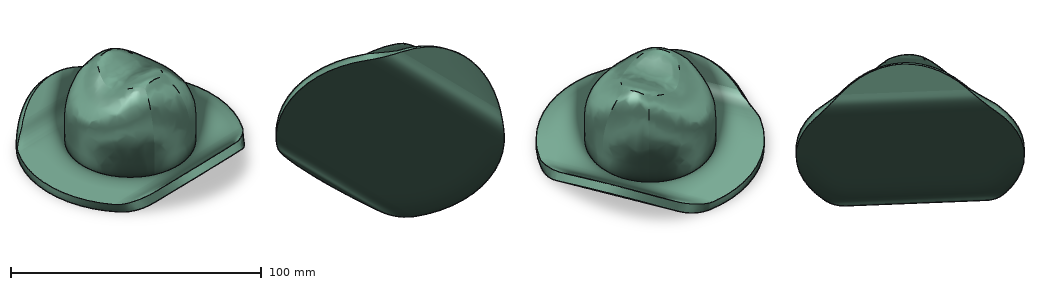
import cadquery as cq
import math

BRIM_TURN = 25.0
CROWN_TURN = 22.5

BRIM_RADIUS = 45.5
BRIM_THICKNESS = 3.55
BEND_START = 26.3
BEND_RADIUS = 13.65
WING_ANGLE = 45.0
RIM_DEPTH = 7.3
STEEPEST_UNDERSIDE = -0.1

CROWN_RADIUS = 26.16
WALL_TOP = 16.2
PEAK_HEIGHT = 39.6
VALLEY_HEIGHT = 35.7
CREASE_ARCH = 1.4
CREASE_HALF_LENGTH = 13.65
CREASE_END_HALF_WIDTH = 5.23
CREASE_HALF_WIDTH = 11.4
SEAM_ANGLES = [-22.5, 22.5, 157.5, 202.5, 337.5]
WALL_PULL = 9.6
CREASE_PULL = 5.9
CREASE_DROP = 1.8
WALL_STEPS = 2
DOME_STEPS = 6
EDGE_STEPS = 8
CREASE_GRID = [-0.75, -0.5, -0.25, 0.0, 0.25, 0.5, 0.75]
CREASE_ROWS = [-0.5, 0.0, 0.5]


def wing_profile(start, base):
    """Right half of a brim side line: flat, arc, then straight slope."""
    angle = math.radians(WING_ANGLE)
    half = angle / 2
    middle = (start + BEND_RADIUS * math.sin(half), base + BEND_RADIUS * (1 - math.cos(half)))
    end = (start + BEND_RADIUS * math.sin(angle), base + BEND_RADIUS * (1 - math.cos(angle)))
    run = 2 * BRIM_RADIUS - end[0]
    tip = (end[0] + run, end[1] + run * math.tan(angle))
    return [(start, base), middle, end, tip]


def mirrored(point):
    return (-point[0], point[1])


def brim_sheet():
    """Endless bent sheet, with both wings turned up."""
    lower_start = BEND_START + BRIM_THICKNESS * math.tan(math.radians(WING_ANGLE / 2))
    low = wing_profile(lower_start, 0)
    high = wing_profile(BEND_START, BRIM_THICKNESS)
    return (
        cq.Workplane("XZ")
        .moveTo(*mirrored(low[0]))
        .lineTo(*low[0])
        .threePointArc(low[1], low[2])
        .lineTo(*low[3])
        .lineTo(*high[3])
        .lineTo(*high[2])
        .threePointArc(high[1], high[0])
        .lineTo(*mirrored(high[0]))
        .threePointArc(mirrored(high[1]), mirrored(high[2]))
        .lineTo(*mirrored(high[3]))
        .lineTo(*mirrored(low[3]))
        .lineTo(*mirrored(low[2]))
        .threePointArc(mirrored(low[1]), mirrored(low[0]))
        .close()
        .extrude(2 * BRIM_RADIUS, both=True)
    )


def make_brim():
    """Sheet whose underside is round from above and whose rim is square to the underside."""
    sheet = brim_sheet()
    round_sheet = sheet.intersect(cq.Workplane("XY").circle(BRIM_RADIUS).extrude(2 * BRIM_RADIUS))
    undersides = [face for face in round_sheet.faces().vals() if face.normalAt().z < STEEPEST_UNDERSIDE]
    blanks = [face.thicken(-RIM_DEPTH) for face in undersides]
    rim_blank = blanks[0].fuse(*blanks[1:])
    return sheet.intersect(cq.Workplane(obj=rim_blank)).val()


def crease_surface(length_part, width_part):
    """Point on the saddle; both parts run from -1 to 1 across the crease."""
    narrowing = (CREASE_HALF_WIDTH - CREASE_END_HALF_WIDTH) * length_part**2
    peak_rise = (PEAK_HEIGHT - VALLEY_HEIGHT) * math.sin(math.pi * length_part / 2) ** 2
    x = CREASE_HALF_LENGTH * length_part
    y = (CREASE_HALF_WIDTH - narrowing) * width_part
    return cq.Vector(x, y, VALLEY_HEIGHT + peak_rise - CREASE_ARCH * width_part**2)


def crease_point(side, along):
    """Point on a crease edge; sides run end, long, end, long and along runs 0 to 1."""
    turn = 1 if side < 2 else -1
    part = turn * (2 * along - 1)
    if side % 2 == 0:
        return crease_surface(turn, part)
    return crease_surface(-part, turn)


def wall_point(side, along, height):
    first, last = SEAM_ANGLES[side], SEAM_ANGLES[side + 1]
    angle = math.radians(first + (last - first) * along)
    return cq.Vector(CROWN_RADIUS * math.cos(angle), CROWN_RADIUS * math.sin(angle), height)


def dome_point(side, along, rise):
    """Point on a cubic Bezier curve from the wall (rise 0) to the crease edge (rise 1)."""
    start = wall_point(side, along, WALL_TOP)
    end = crease_point(side, along)
    outward = cq.Vector(start.x - end.x, start.y - end.y, 0).normalized()
    start_handle = start + cq.Vector(0, 0, WALL_PULL)
    end_handle = end + outward * CREASE_PULL - cq.Vector(0, 0, CREASE_DROP)
    fall = 1 - rise
    return (
        start * fall**3
        + start_handle * (3 * fall**2 * rise)
        + end_handle * (3 * fall * rise**2)
        + end * rise**3
    )


def ring(point_at):
    """Closed wire of four curves that meet on the seams."""
    edges = []
    for side in range(4):
        points = [point_at(side, step / EDGE_STEPS) for step in range(EDGE_STEPS + 1)]
        edges.append(cq.Edge.makeSpline(points))
    return cq.Wire.assembleEdges(edges)


def make_crown():
    """Upright wall, rounded dome and saddle-shaped crease on top."""
    rings = []
    for step in range(WALL_STEPS):
        height = BRIM_THICKNESS + (WALL_TOP - BRIM_THICKNESS) * step / WALL_STEPS
        rings.append(ring(lambda side, along: wall_point(side, along, height)))
    for step in range(DOME_STEPS + 1):
        rings.append(ring(lambda side, along: dome_point(side, along, step / DOME_STEPS)))
    skin = cq.occ_impl.shapes.loft(rings, cap=False)
    base = cq.Face.makeFromWires(rings[0])
    inner_points = [crease_surface(part, row) for part in CREASE_GRID for row in CREASE_ROWS]
    crease = cq.Face.makeNSidedSurface(rings[-1].Edges(), inner_points)
    shell = cq.Shell.makeShell([*skin.Faces(), base, crease])
    return cq.Solid.makeSolid(shell).fix()


z_axis = (cq.Vector(0, 0, 0), cq.Vector(0, 0, 1))
brim = make_brim().rotate(*z_axis, BRIM_TURN)
crown = make_crown().rotate(*z_axis, CROWN_TURN)

result = cq.Compound.makeCompound([*brim.Solids(), crown])